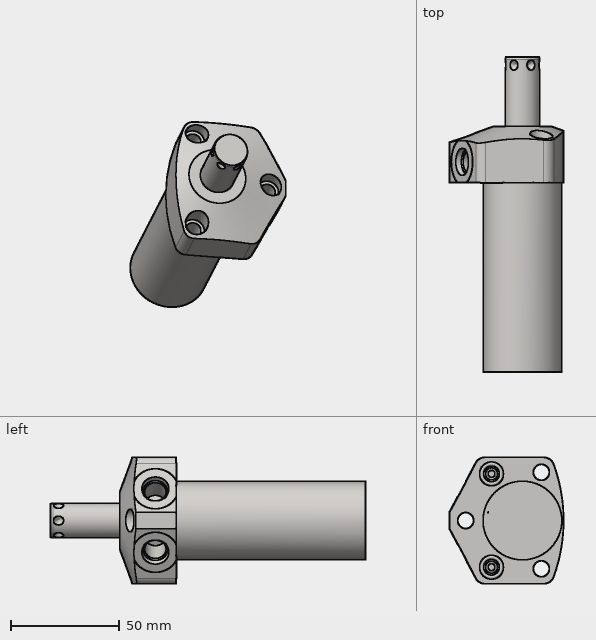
import cadquery as cq
import math


overlap = 1.5

overall_length = 145.6
barrel_radius = 18.2
flange_thickness = 26.0
rod_radius = 8.0
rod_length = 32.0
rod_end_y = flange_thickness + rod_length
barrel_length = overall_length - flange_thickness - rod_length
rod_chamfer_length = 1.0
rod_chamfer_inset = 0.3

spot_count = 6
spot_radius = 2.3
spot_depth = 2.3
spot_setback = 3.8

flange_half_height = 29.3
flange_left = -33.8
flange_right = 19.1
nose_half_height = 3.8
slope_angle = 62.0
right_arc_radius = 75.7
corner_radius = 5.1

cone_flat_radius = 13.4
cone_angle = 20.0
cone_base_radius = 43.7

mount_hole_radius = 3.6
counterbore_radius = 5.2
counterbore_floor_y = 13.1
mount_holes = [(-26.2, 0.0), (8.7, 22.3), (8.7, -22.3)]

port_y = 9.6
port_z = 14.7
port_mouth_radius = 6.3
port_taper_radius = 5.7
port_taper_depth = 2.8
port_radius = 5.0
port_step_depth = 3.3
port_depth = 15.9
spotface_radius = 10.5
spotface_depth = 0.1

plug_x = -14.3
plug_z = 21.5
plug_radius = 5.5
plug_bore_radius = 3.6
plug_crown = 0.3
plug_bore_depth = 1.5
plug_pin_radius = 2.8
plug_pin_setback = 0.6
plug_eye_radius = 1.6
plug_eye_depth = 0.5


def y_cylinder(radius, y_start, y_end, x=0.0, z=0.0):
    """Round bar parallel to Y."""
    return cq.Workplane(cq.Solid.makeCylinder(
        radius, y_end - y_start, cq.Vector(x, y_start, z), cq.Vector(0, 1, 0)))


def revolved_about_y(profile):
    """Solid of revolution about Y from an open XY profile, closed by a straight line."""
    return profile.close().revolve(360, (0, 0, 0), (0, 1, 0))


def flange():
    """Plate with a pointed nose, a bowed right side and a conical front face."""
    slope_rise = flange_half_height - nose_half_height
    top_left = flange_left + slope_rise / math.tan(math.radians(slope_angle))
    arc_half_span = math.sqrt(right_arc_radius**2 - flange_half_height**2)
    top_right = flange_right - right_arc_radius + arc_half_span
    block = (
        cq.Workplane("XZ")
        .moveTo(flange_left, -nose_half_height)
        .lineTo(flange_left, nose_half_height)
        .lineTo(top_left, flange_half_height)
        .lineTo(top_right, flange_half_height)
        .threePointArc((flange_right, 0), (top_right, -flange_half_height))
        .lineTo(top_left, -flange_half_height)
        .close()
        .extrude(-flange_thickness)
    )
    block = block.edges("|Y").edges(">Z or <Z").fillet(corner_radius)

    cone_drop = (cone_base_radius - cone_flat_radius) * math.tan(math.radians(cone_angle))
    envelope = revolved_about_y(
        cq.Workplane("XY")
        .moveTo(0, -overlap)
        .lineTo(cone_base_radius, -overlap)
        .lineTo(cone_base_radius, flange_thickness - cone_drop)
        .lineTo(cone_flat_radius, flange_thickness)
        .lineTo(0, flange_thickness)
    )
    return block.intersect(envelope)


def rod():
    """Piston rod with a bevelled tip and a ring of drill points."""
    bar = revolved_about_y(
        cq.Workplane("XY")
        .lineTo(rod_radius, 0)
        .lineTo(rod_radius, rod_end_y - rod_chamfer_length)
        .lineTo(rod_radius - rod_chamfer_inset, rod_end_y)
        .lineTo(0, rod_end_y)
    )
    for index in range(spot_count):
        angle = 2 * math.pi * index / spot_count
        outward = cq.Vector(math.cos(angle), 0, math.sin(angle))
        start = outward * rod_radius + cq.Vector(0, rod_end_y - spot_setback, 0)
        bar = bar.cut(cq.Workplane(
            cq.Solid.makeCone(spot_radius, 0, spot_depth, start, outward * -1)))
    return bar


def port_cutter(side):
    """Stepped blind bore entering the sloping face on the +Z (1) or -Z (-1) side."""
    slope = math.radians(slope_angle)
    mouth_x = flange_left + (port_z - nose_half_height) / math.tan(slope)
    mouth = cq.Vector(mouth_x, port_y, side * port_z)
    inward = cq.Vector(math.sin(slope), 0, -side * math.cos(slope))
    taper_end = mouth + inward * port_taper_depth
    step_length = port_step_depth - port_taper_depth
    spotface = cq.Solid.makeCylinder(spotface_radius, spotface_depth, mouth, inward)
    taper = cq.Solid.makeCone(port_mouth_radius, port_taper_radius, port_taper_depth, mouth, inward)
    step = cq.Solid.makeCone(port_taper_radius, port_radius, step_length, taper_end, inward)
    bore = cq.Solid.makeCylinder(port_radius, port_depth, mouth, inward)
    return cq.Workplane(spotface.fuse(taper, step, bore))


def mount_hole_cutter(x, z):
    """Through hole with a counterbore open to the conical face."""
    hole = y_cylinder(mount_hole_radius, -overlap, flange_thickness, x, z)
    return hole.union(y_cylinder(counterbore_radius, counterbore_floor_y, flange_thickness, x, z))


def plug_ring():
    """Ring of round section, set into the back face with only its crown standing proud."""
    section_radius = (plug_radius - plug_bore_radius) / 2
    ring_radius = plug_radius - section_radius
    section_y = section_radius - plug_crown
    return revolved_about_y(
        cq.Workplane("XY")
        .moveTo(plug_bore_radius, plug_bore_depth)
        .lineTo(plug_bore_radius, section_y)
        .threePointArc((ring_radius, -plug_crown), (plug_radius, section_y))
        .lineTo(plug_radius, plug_bore_depth)
    )


def add_plug(body, z):
    """Body with a plug seated in its back face at height z."""
    seat = y_cylinder(plug_radius, -plug_crown, plug_bore_depth, plug_x, z)
    ring = plug_ring().translate((plug_x, 0, z))
    pin = y_cylinder(plug_pin_radius, plug_pin_setback, plug_bore_depth, plug_x, z)
    eye_floor_y = plug_pin_setback + plug_eye_depth
    eye = y_cylinder(plug_eye_radius, plug_pin_setback, eye_floor_y, plug_x, z)
    return body.cut(seat).union(ring).union(pin.cut(eye))


result = flange().union(y_cylinder(barrel_radius, -barrel_length, overlap)).union(rod())
for x, z in mount_holes:
    result = result.cut(mount_hole_cutter(x, z))
for side in (1, -1):
    result = result.cut(port_cutter(side))
    result = add_plug(result, side * plug_z)